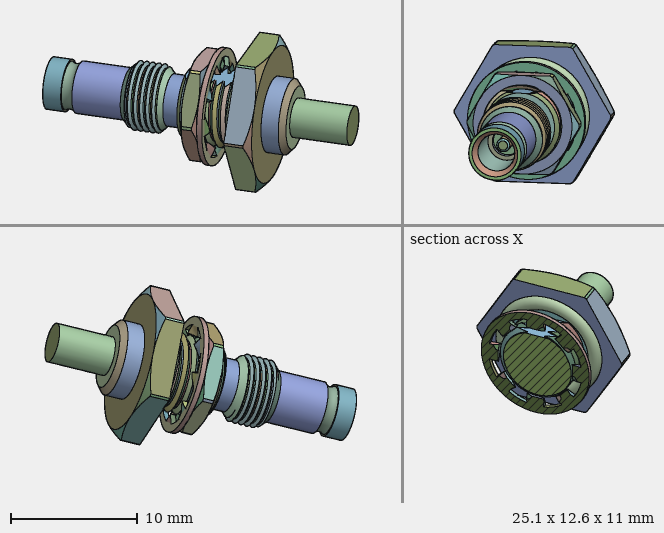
import cadquery as cq
import math

LENGTH = 25.08

BARREL_R = 2.1
GROOVE_START_X = 1.5
GROOVE_START_R = 1.95
GROOVE_BOTTOM_X = 1.93
GROOVE_BOTTOM_R = 1.83
GROOVE_END_X = 2.43

MOUTH_R = 1.83
BORE_R = 1.48
MOUTH_CONE_DEPTH = 0.65
BORE_DEPTH = 5.02
CONTACT_RECESS_R = 1.13
CONTACT_RECESS_DEPTH = 0.5
PIN_R = 0.53
PIN_TIP_R = 0.38
PIN_HEIGHT = 2.0

COUPLING_START_X = 6.45
COUPLING_END_X = 9.98
COUPLING_CREST_R = 2.78
COUPLING_ROOT_R = 2.48
COUPLING_PITCH = 0.5
COUPLING_CREST_X = 7.15

MOUNT_START_X = 11.34
MOUNT_FACE_R = 2.7
MOUNT_CREST_R = 3.19
MOUNT_ROOT_R = 2.78
MOUNT_PITCH = 0.7
MOUNT_CREST_X = 13.52
FLAT_Z = 2.68

RIDGE_SINK = 0.08
RIDGE_FILL = 0.96
ENVELOPE_CLEARANCE = 0.05

FLANGE_X = 16.38
FLANGE_END_X = 18.43
FLANGE_ACROSS_FLATS = 11.0
FLANGE_ACROSS_CORNERS = 12.6
FLANGE_CHAMFER_ANGLE = 30.0
COLLAR_R = 3.05
COLLAR_CHAMFER_X = 19.86
COLLAR_END_X = 20.35
COLLAR_END_R = 2.53
SLEEVE_R = 1.58

ORING_R = 4.01
ORING_TUBE_R = 0.58

NUT_X = 12.06
NUT_END_X = 13.37
NUT_ACROSS_FLATS = 7.95
NUT_ACROSS_CORNERS = 9.03
NUT_COUNTERSINK_R = 3.15
NUT_THREAD_CLEARANCE = 0.03
NUT_CHAMFER_ANGLE = 23.0

WASHER_X = 13.62
WASHER_THICKNESS = 0.43
WASHER_OUTER_R = 4.72
WASHER_INNER_R = 4.05
TOOTH_COUNT = 8
TOOTH_ROOT_R = 4.16
TWIST_START_R = 3.96
TOOTH_TIP_R = 3.2
TOOTH_WIDTH = 1.5
TOOTH_TWIST = 20.0


def cylinder(radius, start_x, end_x):
    """Cylinder about the X axis."""
    return cq.Workplane("YZ", origin=(start_x, 0, 0)).circle(radius).extrude(end_x - start_x)


def turned(points):
    """Solid turned about the X axis from a closed (x, radius) outline."""
    return cq.Workplane("XY").polyline(points).close().revolve(360, (0, 0, 0), (1, 0, 0))


def threaded_bar(crest_r, root_r, pitch, start_x, end_x, crest_x):
    """Bar with a right-handed V thread, overrunning start_x and end_x.

    One crest crosses the +Z side at crest_x.
    """
    foot_r = root_r - RIDGE_SINK
    half_foot = RIDGE_FILL * pitch / 2
    helix_x = crest_x - pitch * (math.ceil((crest_x - start_x) / pitch) + 1)
    helix_length = pitch * (math.ceil((end_x - helix_x) / pitch) + 1)

    helix = cq.Wire.makeHelix(pitch, helix_length, foot_r)
    ridge = (
        cq.Workplane("XZ")
        .moveTo(foot_r, -half_foot)
        .lineTo(crest_r, 0)
        .lineTo(foot_r, half_foot)
        .close()
        .sweep(cq.Workplane(helix), isFrenet=True)
    )
    lay_down = cq.Plane(origin=(helix_x, 0, 0), xDir=(0, 0, 1), normal=(1, 0, 0))
    ridge = ridge.val().moved(cq.Location(lay_down))
    core = cylinder(root_r, helix_x - pitch, helix_x + helix_length + pitch)
    return core.union(cq.Workplane(ridge))


def hexagon_prism(across_flats, across_corners, start_x, end_x):
    """Hex prism with flats at +-Z and its six long edges cut flat."""
    height = end_x - start_x
    half_step = 360 / 6 / 2
    plane = cq.Workplane("YZ", origin=(start_x, 0, 0))
    sharp_hex = (
        plane.transformed(rotate=(0, 0, half_step))
        .polygon(6, across_flats, circumscribed=True)
        .extrude(height)
    )
    corner_hex = plane.polygon(6, across_corners, circumscribed=True).extrude(height)
    return sharp_hex.intersect(corner_hex)


def chamfer_cone(across_flats, face_x, direction, angle, depth):
    """Turned envelope that chamfers hex corners at face_x; direction points into the hex."""
    face_r = across_flats / 2
    far_r = face_r + depth / math.tan(math.radians(angle))
    far_x = face_x + direction * depth
    return turned([(face_x, 0), (face_x, face_r), (far_x, far_r), (far_x, 0)])


def snap_groove():
    """Ring of removed material with a rounded bottom."""
    overcut = 0.25
    top_r = BARREL_R + overcut
    return (
        cq.Workplane("XY")
        .moveTo(GROOVE_START_X, top_r)
        .lineTo(GROOVE_START_X, GROOVE_START_R)
        .threePointArc((GROOVE_BOTTOM_X, GROOVE_BOTTOM_R), (GROOVE_END_X, BARREL_R))
        .lineTo(GROOVE_END_X, top_r)
        .close()
        .revolve(360, (0, 0, 0), (1, 0, 0))
    )


def mating_bore():
    """Space inside the mating end, around the contact pin."""
    recess_x = BORE_DEPTH + CONTACT_RECESS_DEPTH
    pin_x = recess_x - PIN_HEIGHT
    pin_shoulder_x = pin_x + PIN_R - PIN_TIP_R
    return turned([
        (0, 0),
        (0, MOUTH_R),
        (MOUTH_CONE_DEPTH, BORE_R),
        (BORE_DEPTH, BORE_R),
        (BORE_DEPTH, CONTACT_RECESS_R),
        (recess_x, CONTACT_RECESS_R),
        (recess_x, PIN_R),
        (pin_shoulder_x, PIN_R),
        (pin_x, PIN_TIP_R),
        (pin_x, 0),
    ])


def coupling_thread():
    """Threaded length whose ends taper down to the barrel at 45 degrees."""
    envelope_r = COUPLING_CREST_R + ENVELOPE_CLEARANCE
    rise = envelope_r - BARREL_R
    envelope = turned([
        (COUPLING_START_X, 0),
        (COUPLING_START_X, BARREL_R),
        (COUPLING_START_X + rise, envelope_r),
        (COUPLING_END_X - rise, envelope_r),
        (COUPLING_END_X, BARREL_R),
        (COUPLING_END_X, 0),
    ])
    bar = threaded_bar(
        COUPLING_CREST_R, COUPLING_ROOT_R, COUPLING_PITCH,
        COUPLING_START_X, COUPLING_END_X, COUPLING_CREST_X,
    )
    return bar.intersect(envelope)


def mounting_thread():
    """Threaded length chamfered at its free end, with a flat along the top."""
    envelope_r = MOUNT_CREST_R + ENVELOPE_CLEARANCE
    envelope = turned([
        (MOUNT_START_X, 0),
        (MOUNT_START_X, MOUNT_FACE_R),
        (MOUNT_START_X + envelope_r - MOUNT_FACE_R, envelope_r),
        (FLANGE_X, envelope_r),
        (FLANGE_X, 0),
    ])
    length = FLANGE_X - MOUNT_START_X
    above_flat = (
        cq.Workplane("XY", origin=(MOUNT_START_X, 0, FLAT_Z))
        .box(length, 2 * envelope_r, envelope_r, centered=(False, True, False))
    )
    bar = threaded_bar(
        MOUNT_CREST_R, MOUNT_ROOT_R, MOUNT_PITCH, MOUNT_START_X, FLANGE_X, MOUNT_CREST_X,
    )
    return bar.intersect(envelope.cut(above_flat))


def hex_flange():
    """Hex chamfered on the cable side, with the O-ring groove in its other face."""
    hexagon = hexagon_prism(FLANGE_ACROSS_FLATS, FLANGE_ACROSS_CORNERS, FLANGE_X, FLANGE_END_X)
    thickness = FLANGE_END_X - FLANGE_X
    flange = hexagon.intersect(
        chamfer_cone(FLANGE_ACROSS_FLATS, FLANGE_END_X, -1, FLANGE_CHAMFER_ANGLE, thickness)
    )
    ring_groove = cylinder(ORING_R + ORING_TUBE_R, FLANGE_X, FLANGE_X + ORING_TUBE_R).cut(
        cylinder(ORING_R - ORING_TUBE_R, FLANGE_X, FLANGE_X + ORING_TUBE_R)
    )
    return flange.cut(ring_groove)


def collar_and_sleeve():
    """Chamfered collar behind the flange and the crimp sleeve that ends the housing."""
    return turned([
        (FLANGE_END_X, 0),
        (FLANGE_END_X, COLLAR_R),
        (COLLAR_CHAMFER_X, COLLAR_R),
        (COLLAR_END_X, COLLAR_END_R),
        (COLLAR_END_X, SLEEVE_R),
        (LENGTH, SLEEVE_R),
        (LENGTH, 0),
    ])


def make_housing():
    """One-piece housing from the mating end to the cable end."""
    return (
        cylinder(BARREL_R, 0, MOUNT_START_X)
        .cut(snap_groove())
        .union(coupling_thread())
        .union(mounting_thread())
        .union(hex_flange())
        .union(collar_and_sleeve())
        .cut(mating_bore())
    )


def make_nut():
    """Hex nut chamfered on both faces, with a countersunk hole that clears the thread."""
    nut = hexagon_prism(NUT_ACROSS_FLATS, NUT_ACROSS_CORNERS, NUT_X, NUT_END_X)
    thickness = NUT_END_X - NUT_X
    for face_x, direction in ((NUT_X, 1), (NUT_END_X, -1)):
        nut = nut.intersect(
            chamfer_cone(NUT_ACROSS_FLATS, face_x, direction, NUT_CHAMFER_ANGLE, thickness)
        )
    sink_depth = NUT_COUNTERSINK_R - MOUNT_ROOT_R
    for face_x, direction in ((NUT_X, 1), (NUT_END_X, -1)):
        countersink = turned([
            (face_x, 0),
            (face_x, NUT_COUNTERSINK_R),
            (face_x + direction * sink_depth, MOUNT_ROOT_R),
            (face_x + direction * sink_depth, 0),
        ])
        nut = nut.cut(countersink)
    tap = threaded_bar(
        MOUNT_CREST_R + NUT_THREAD_CLEARANCE, MOUNT_ROOT_R + NUT_THREAD_CLEARANCE, MOUNT_PITCH,
        NUT_X, NUT_END_X, MOUNT_CREST_X,
    )
    return nut.cut(tap)


def make_washer():
    """Flat ring whose inward teeth twist about their own radial axes."""
    washer = cylinder(WASHER_OUTER_R, WASHER_X, WASHER_X + WASHER_THICKNESS).cut(
        cylinder(WASHER_INNER_R, WASHER_X, WASHER_X + WASHER_THICKNESS)
    )
    middle_x = WASHER_X + WASHER_THICKNESS / 2
    root = (
        cq.Workplane("XY", origin=(middle_x, 0, TWIST_START_R))
        .rect(WASHER_THICKNESS, TOOTH_WIDTH)
        .extrude(TOOTH_ROOT_R - TWIST_START_R)
    )
    tooth = (
        cq.Workplane("XY", origin=(middle_x, 0, TWIST_START_R))
        .rect(WASHER_THICKNESS, TOOTH_WIDTH)
        .transformed(rotate=(0, 0, TOOTH_TWIST), offset=(0, 0, TOOTH_TIP_R - TWIST_START_R))
        .rect(WASHER_THICKNESS, TOOTH_WIDTH)
        .loft(ruled=True)
        .union(root)
    )
    for index in range(TOOTH_COUNT):
        washer = washer.union(tooth.rotate((0, 0, 0), (1, 0, 0), index * 360 / TOOTH_COUNT))
    return washer


def make_oring():
    """Torus seated in the flange groove."""
    return (
        cq.Workplane("XY", origin=(FLANGE_X, 0, 0))
        .center(0, ORING_R)
        .circle(ORING_TUBE_R)
        .revolve(360, (0, -ORING_R, 0), (1, -ORING_R, 0))
    )


housing = make_housing()
nut = make_nut()
washer = make_washer()
oring = make_oring()

result = cq.Compound.makeCompound([housing.val(), nut.val(), washer.val(), oring.val()])